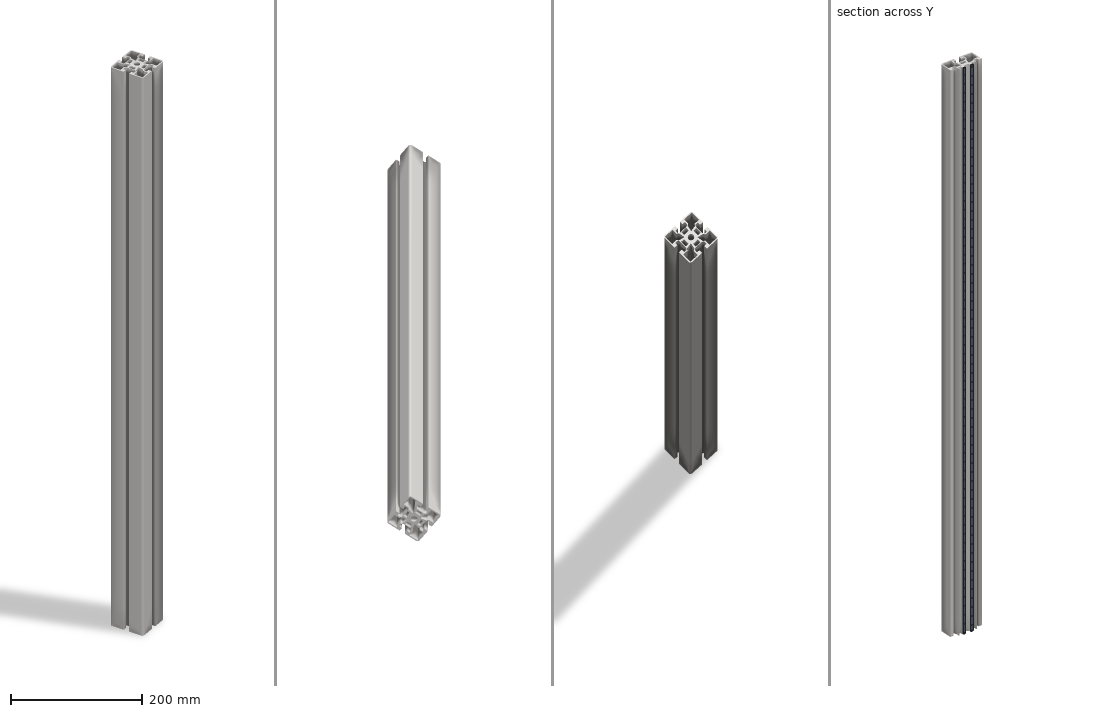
import cadquery as cq

side = 60.0
length = 1000.0
half = side / 2
corner_radius = 4.0

skin = 2.0
web = 2.0
slot_floor = 1.0
bore_diameter = 10.0

mouth_half = 5.0
lip_depth = 6.0
cavity_half = 10.0
taper_depth = 11.0
slot_depth = 13.0
floor_half = 7.0

chamber_half = 5.0
chamber_outer = half - slot_depth - slot_floor
chamber_inner = 10.0

hollow_outer = half - skin
hollow_side = cavity_half + web
throat_start = half - taper_depth
throat_end = half - slot_depth
throat_side = floor_half + web
throat_tip = 7.0


def prism(points):
    """Full-length prism over a closed outline."""
    return cq.Workplane("XY").polyline(points).close().extrude(length)


def mirrored(right_points):
    """Close an outline by repeating its right-hand points on the left."""
    return right_points + [(-x, y) for x, y in reversed(right_points)]


def slot_cutter():
    return prism(mirrored([
        (mouth_half, half),
        (mouth_half, half - lip_depth),
        (cavity_half, half - lip_depth),
        (cavity_half, half - taper_depth),
        (floor_half, half - slot_depth),
    ]))


def chamber_cutter():
    return prism(mirrored([
        (chamber_half, chamber_outer),
        (chamber_half, chamber_inner),
    ]))


def corner_cutter():
    below_diagonal = [
        (hollow_outer, hollow_side),
        (throat_start, hollow_side),
        (throat_end, throat_side),
    ]
    above_diagonal = [(y, x) for x, y in reversed(below_diagonal)]
    inner_corner = [(throat_tip, throat_tip)]
    outer_corner = [(hollow_outer, hollow_outer)]
    return prism(below_diagonal + inner_corner + above_diagonal + outer_corner)


result = (
    cq.Workplane("XY")
    .rect(side, side)
    .extrude(length)
    .edges("|Z")
    .fillet(corner_radius)
)
for quarter in range(4):
    for cutter in (slot_cutter(), chamber_cutter(), corner_cutter()):
        result = result.cut(cutter.rotate((0, 0, 0), (0, 0, 1), 90 * quarter))
result = result.cut(cq.Workplane("XY").circle(bore_diameter / 2).extrude(length))